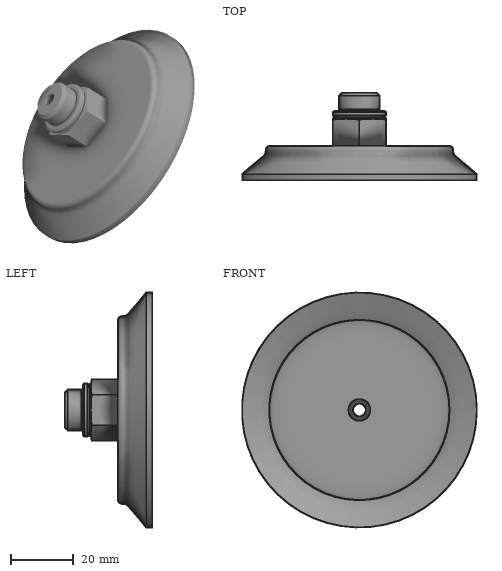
import cadquery as cq
import math


rim_radius = 37.5
rim_width = 1.95
collar_radius = 30.0
collar_fillet = 1.5
cup_height = 11.0
blend_radius = 1.9
blend_top = 9.15
cone_slope = math.radians(50.5)

dish_depth = 5.0
dish_floor_radius = 28.65
dish_step_width = 0.15
dish_step_height = 0.2

hex_across_flats = 17.0
hex_top = 19.6
hex_chamfer_angle = math.radians(10)

shoulder_radius = 16.8 / 2
shoulder_top = 19.95
neck_radius = 14.4 / 2
ring_face_radius = 15.6 / 2
ring_radius = 17.0 / 2
ring_bottom = 20.2
ring_edge_bottom = 20.8
ring_edge_top = 21.75
ring_top = 22.2

stem_radius = 13.1 / 2
stem_bottom = 22.65
stem_top = 28.0
stem_chamfer = 1.05
undercut_radius = 6.3

inlet_diameter = 7.0
inlet_end = cup_height
passage_diameter = 4.0


def revolve_about_y(profile):
    """Revolve a closed (radius, y) profile around the Y axis."""
    return profile.close().revolve(360, (0, 0, 0), (0, 1, 0))


def bore(diameter, length):
    """Cylinder on the Y axis, starting at the rim plane."""
    return cq.Workplane("XZ").circle(diameter / 2).extrude(-length)


def make_cup():
    def blend_point(angle):
        radius = collar_radius + blend_radius * (1 - math.cos(angle))
        return (radius, blend_top - blend_radius * math.sin(angle))

    fillet_center = (collar_radius - collar_fillet, cup_height - collar_fillet)
    fillet_offset = collar_fillet * math.sqrt(0.5)
    fillet_middle = (fillet_center[0] + fillet_offset, fillet_center[1] + fillet_offset)
    dish_edge_radius = dish_floor_radius + dish_step_width
    dish_edge_depth = dish_depth - dish_step_height

    return revolve_about_y(
        cq.Workplane("XY")
        .moveTo(0, dish_depth)
        .lineTo(dish_floor_radius, dish_depth)
        .lineTo(dish_edge_radius, dish_edge_depth)
        .lineTo(rim_radius, 0)
        .lineTo(rim_radius, rim_width)
        .lineTo(*blend_point(cone_slope))
        .threePointArc(blend_point(cone_slope / 2), blend_point(0))
        .lineTo(collar_radius, fillet_center[1])
        .threePointArc(fillet_middle, (fillet_center[0], cup_height))
        .lineTo(0, cup_height)
    )


def make_hexagon():
    corner_radius = hex_across_flats / 2 / math.cos(math.pi / 6)
    corners = [
        (corner_radius * math.sin(i * math.pi / 3), corner_radius * math.cos(i * math.pi / 3))
        for i in range(6)
    ]
    prism = (
        cq.Workplane("XZ", origin=(0, dish_depth, 0))
        .polyline(corners)
        .close()
        .extrude(-(hex_top - dish_depth))
    )
    cone_base_radius = corner_radius + 0.75
    top_radius = hex_across_flats / 2
    cone_height = (cone_base_radius - top_radius) * math.tan(hex_chamfer_angle)
    trim = revolve_about_y(
        cq.Workplane("XY")
        .moveTo(0, dish_depth)
        .lineTo(cone_base_radius, dish_depth)
        .lineTo(cone_base_radius, hex_top - cone_height)
        .lineTo(top_radius, hex_top)
        .lineTo(0, hex_top)
    )
    return prism.intersect(trim)


def make_stem():
    return revolve_about_y(
        cq.Workplane("XY")
        .moveTo(0, cup_height)
        .lineTo(shoulder_radius, cup_height)
        .lineTo(shoulder_radius, shoulder_top)
        .lineTo(neck_radius, shoulder_top)
        .lineTo(neck_radius, ring_bottom)
        .lineTo(ring_face_radius, ring_bottom)
        .lineTo(ring_radius, ring_edge_bottom)
        .lineTo(ring_radius, ring_edge_top)
        .lineTo(ring_face_radius, ring_top)
        .lineTo(undercut_radius, ring_top)
        .lineTo(stem_radius, stem_bottom)
        .lineTo(stem_radius, stem_top - stem_chamfer)
        .lineTo(stem_radius - stem_chamfer, stem_top)
        .lineTo(0, stem_top)
    )


solid_body = make_cup().union(make_hexagon()).union(make_stem())
result = solid_body.cut(bore(inlet_diameter, inlet_end)).cut(bore(passage_diameter, stem_top))